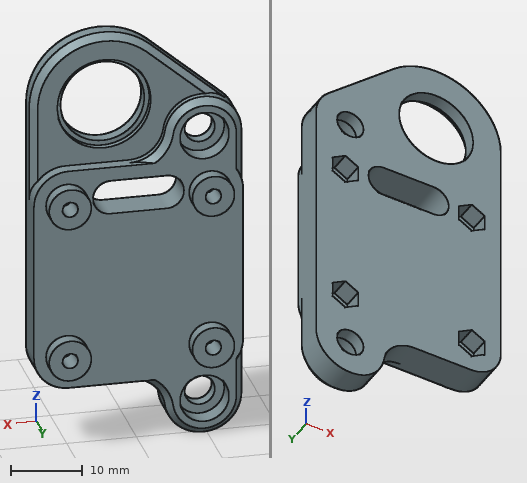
import cadquery as cq
import math

width = 30.0
height = 61.5
body_thickness = 5.0
flange_thickness = 3.0
chamfer = 1.0

lug_radius = 5.55
lug_hole_diameter = 4.3
lug_recess_diameter = 7.0
lug_floor_thickness = 2.0
lower_lug_z = lug_radius
upper_lug_z = 45.55
lug_blend_radius = 5.0

corner_radius = 5.0
body_middle_z = (lower_lug_z + upper_lug_z) / 2
body_height = 33.0
body_bottom_z = body_middle_z - body_height / 2

flange_radius = 10.5
bearing_x = width - flange_radius
bearing_z = height - flange_radius
bearing_hole_diameter = 12.0
bearing_recess_diameter = 13.4
bearing_floor_thickness = 2.0

boss_diameter = 6.0
boss_height = 2.0
screw_hole_diameter = 2.2
nut_width = 4.2
nut_depth = 3.0
boss_spacing_x = 20.55
boss_x_positions = ((width - boss_spacing_x) / 2, (width + boss_spacing_x) / 2)
boss_z_positions = (body_bottom_z + corner_radius, body_bottom_z + body_height - corner_radius)

slot_length = 13.05
slot_width = 5.0
slot_x = width / 2
slot_z = 37.5


def front_plane(y=0.0):
    """Sketch plane with X right and Z up; positive extrusion goes toward -Y."""
    return cq.Workplane("XZ", origin=(0, y, 0))


def cylinder(x, z, diameter, start_y, length):
    """Cylinder along +Y beginning at start_y."""
    return front_plane(start_y).center(x, z).circle(diameter / 2).extrude(-length)


def make_body():
    body = front_plane().center(width / 2, body_middle_z).rect(width, body_height)
    return body.extrude(-body_thickness).edges("|Y").fillet(corner_radius)


def make_lugs():
    """Left strip with a round lug at each end, blended into the body's end edges."""
    blend_center_z = body_bottom_z - lug_blend_radius
    center_distance = lug_radius + lug_blend_radius
    rise = blend_center_z - lower_lug_z
    blend_center_x = lug_radius + math.sqrt(center_distance**2 - rise**2)
    blend_angle = math.atan2(rise, blend_center_x - lug_radius)
    tangent_x = lug_radius + lug_radius * math.cos(blend_angle)
    tangent_z = lower_lug_z + lug_radius * math.sin(blend_angle)
    middle_angle = (math.pi / 2 + math.pi + blend_angle) / 2
    middle_x = blend_center_x + lug_blend_radius * math.cos(middle_angle)
    middle_z = blend_center_z + lug_blend_radius * math.sin(middle_angle)

    def mirrored(z):
        return 2 * body_middle_z - z

    strip = (
        front_plane()
        .moveTo(0, lower_lug_z)
        .threePointArc((lug_radius, 0), (tangent_x, tangent_z))
        .threePointArc((middle_x, middle_z), (blend_center_x, body_bottom_z))
        .lineTo(blend_center_x, mirrored(body_bottom_z))
        .threePointArc((middle_x, mirrored(middle_z)), (tangent_x, mirrored(tangent_z)))
        .threePointArc((lug_radius, mirrored(0)), (0, upper_lug_z))
        .close()
        .extrude(-body_thickness)
    )
    return strip.faces(">Y").edges("not(>X)").chamfer(chamfer)


def make_flange():
    """Thin plate whose sloping edge is tangent to the upper lug and the bearing arc."""
    dx = bearing_x - lug_radius
    dz = bearing_z - upper_lug_z
    slope = math.atan2(dz, dx) + math.asin((flange_radius - lug_radius) / math.hypot(dx, dz))
    normal_x = -math.sin(slope)
    normal_z = math.cos(slope)
    arc_middle_offset = flange_radius * math.cos(math.pi / 4)
    flange = (
        front_plane()
        .moveTo(width, body_middle_z)
        .lineTo(width, bearing_z)
        .threePointArc(
            (bearing_x + arc_middle_offset, bearing_z + arc_middle_offset),
            (bearing_x + flange_radius * normal_x, bearing_z + flange_radius * normal_z),
        )
        .lineTo(lug_radius + lug_radius * normal_x, upper_lug_z + lug_radius * normal_z)
        .lineTo(lug_radius, upper_lug_z)
        .lineTo(lug_radius, body_middle_z)
        .close()
        .extrude(-flange_thickness)
    )
    return flange.faces(">Y").chamfer(chamfer)


def add_bosses(part):
    for x in boss_x_positions:
        for z in boss_z_positions:
            part = part.union(cylinder(x, z, boss_diameter, body_thickness, boss_height))
    return part


def cut_screw_holes(part):
    """Through holes with hexagonal nut pockets, points up, in the front face."""
    nut_corner_diameter = nut_width / math.cos(math.pi / 6)
    for x in boss_x_positions:
        for z in boss_z_positions:
            hole = cylinder(x, z, screw_hole_diameter, 0, body_thickness + boss_height)
            pocket = front_plane().polygon(6, nut_corner_diameter).extrude(-nut_depth)
            pocket = pocket.rotate((0, 0, 0), (0, 1, 0), 30).translate((x, 0, z))
            part = part.cut(hole).cut(pocket)
    return part


def cut_recessed_hole(part, x, z, diameter, floor_thickness, recess_diameter):
    """Through hole with a round recess from the rear down to the given floor thickness."""
    hole = cylinder(x, z, diameter, 0, floor_thickness)
    recess = cylinder(x, z, recess_diameter, floor_thickness, body_thickness - floor_thickness)
    return part.cut(hole).cut(recess)


def cut_slot(part):
    slot = front_plane().center(slot_x, slot_z).slot2D(slot_length, slot_width).extrude(-body_thickness)
    return part.cut(slot)


result = make_body().union(make_lugs()).union(make_flange())
result = add_bosses(result)
result = cut_screw_holes(result)
for lug_z in (lower_lug_z, upper_lug_z):
    result = cut_recessed_hole(
        result, lug_radius, lug_z, lug_hole_diameter, lug_floor_thickness, lug_recess_diameter
    )
result = cut_recessed_hole(
    result, bearing_x, bearing_z, bearing_hole_diameter, bearing_floor_thickness, bearing_recess_diameter
)
result = cut_slot(result)